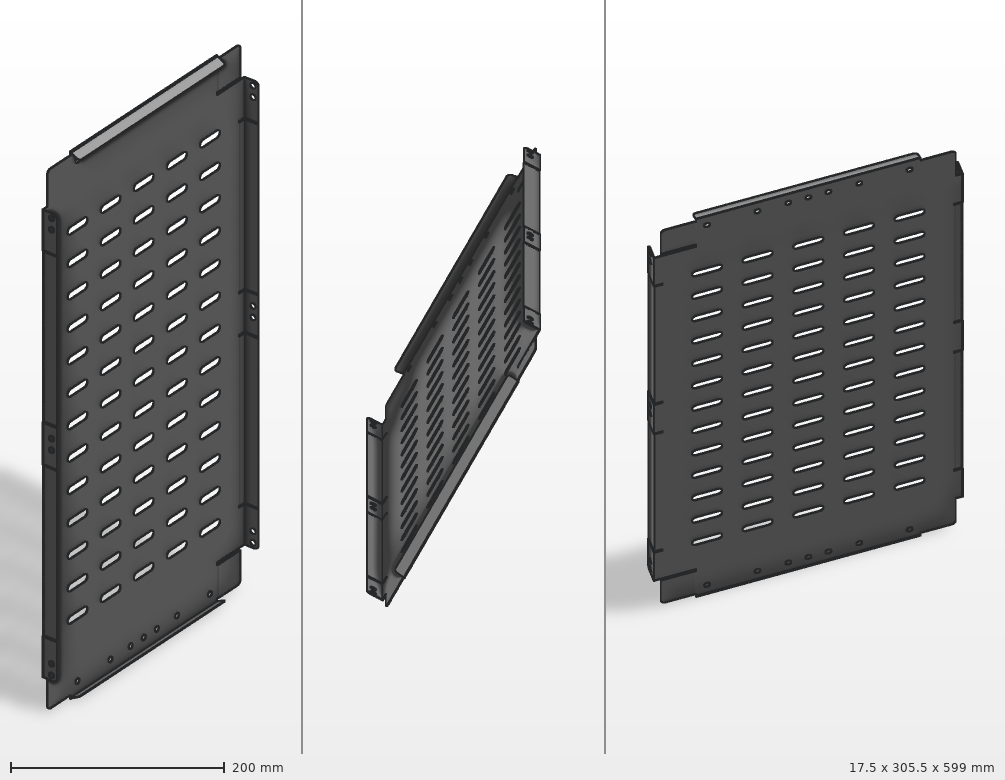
import cadquery as cq
import math

height = 599.0
width = 305.5
depth = 17.5
sheet = 1.0

flange_height = 511.5
flange_corner = 5.0
shoulder_width = 291.0
shoulder_height = 590.5
shoulder_corner = 5.0

lip_width = 221.5
lip_reach = 11.5
lip_angle = 27.0
lip_corner = 3.5

step = 0.3
flange_slit = 1.5
tab_slit = 3.0
step_run = 2.0
side_step = 145.5
side_offset_low = 23.0
side_offset_high = 211.5

slot_length = 30.0
slot_width = 8.5
slot_columns = 5
slot_rows = 13
slot_span_y = 200.0
slot_span_z = 426.0

hole_diameter = 6.0
plate_hole_z = 285.0
plate_hole_y = (0, 20.0, 50.5, 100.0)
flange_hole_x = 11.0
flange_hole_pitch = 12.5
flange_pair_centers = (-244.0, 2.7, 244.0)


def block(x_range, y_range, z_range):
    """Axis-aligned box between the given limits."""
    spans = [high - low for low, high in (x_range, y_range, z_range)]
    corner = (x_range[0], y_range[0], z_range[0])
    return cq.Workplane("XY").box(*spans, centered=False).translate(corner)


def mirrored_z(shape):
    """The shape together with its mirror image below Z = 0."""
    return shape.union(shape.mirror("XY"))


def plate():
    middle = block((0, sheet), (-width / 2, width / 2), (-flange_height / 2, flange_height / 2))
    shoulders = (
        cq.Workplane("YZ")
        .rect(shoulder_width, shoulder_height)
        .extrude(sheet)
        .edges("|X")
        .fillet(shoulder_corner)
    )
    lip_roots = block((0, sheet), (-lip_width / 2, lip_width / 2), (-height / 2, height / 2))
    return middle.union(shoulders).union(lip_roots)


def upper_lip():
    """Flap sloping down and back from the top edge of the plate."""
    angle = math.radians(lip_angle)
    top = height / 2
    drop = sheet / math.cos(angle)
    end_top = top - lip_reach * math.tan(angle)
    end_low = (lip_reach - sheet * math.sin(angle), end_top - sheet * math.cos(angle))
    sloped = (
        cq.Workplane("XZ")
        .polyline([(0, top), (lip_reach, end_top), end_low, (0, top - drop)])
        .close()
        .extrude(lip_width / 2, both=True)
    )
    outline = (
        block((0, lip_reach), (-lip_width / 2, lip_width / 2), (end_low[1], top))
        .edges("|Z and >X")
        .fillet(lip_corner)
    )
    return sloped.intersect(outline)


def flange():
    """Flange on the +Y side."""
    return (
        block((0, depth), (width / 2 - sheet, width / 2), (-flange_height / 2, flange_height / 2))
        .edges("|Y and >X")
        .fillet(flange_corner)
    )


def upper_flange_offset():
    """Upper stretch of the +Y flange, stepped inward together with its strip of plate."""
    outer = width / 2 - step
    step_start = side_step - step_run
    section = [
        (0, step_start), (step, side_step), (step, outer), (depth, outer), (depth, outer - sheet),
        (step + sheet, outer - sheet), (step + sheet, side_step), (sheet, step_start),
    ]
    length = side_offset_high - side_offset_low - 2 * flange_slit
    bottom = side_offset_low + flange_slit
    return cq.Workplane("XY", origin=(0, 0, bottom)).polyline(section).close().extrude(length)


def upper_flange_clearance():
    """Space cleared for the upper offset stretch and its two slits."""
    return block((0, depth), (side_step - step_run, width / 2), (side_offset_low, side_offset_high))


def upper_tab():
    """Corner tab on the +Y side, stepped inward off the plate."""
    edge = shoulder_width / 2
    start = lip_width / 2
    full = start + step_run
    inner = step + sheet
    section = [(0, start), (step, full), (step, edge), (inner, edge), (inner, full), (sheet, start)]
    bottom = flange_height / 2 + tab_slit
    return (
        cq.Workplane("XY", origin=(0, 0, bottom))
        .polyline(section)
        .close()
        .extrude(shoulder_height / 2 - bottom)
        .edges("|X and >Y and >Z")
        .fillet(shoulder_corner)
    )


def upper_tab_clearance():
    """Space cleared for the tab and the slit below it."""
    return block((0, sheet), (lip_width / 2, shoulder_width / 2), (flange_height / 2, shoulder_height / 2))


def slots():
    return (
        cq.Workplane("YZ")
        .rarray(slot_span_y / (slot_columns - 1), slot_span_z / (slot_rows - 1), slot_columns, slot_rows)
        .slot2D(slot_length, slot_width)
        .extrude(sheet)
    )


def plate_holes():
    points = {(side * y, end * plate_hole_z) for y in plate_hole_y for side in (-1, 1) for end in (-1, 1)}
    return cq.Workplane("YZ").pushPoints(sorted(points)).circle(hole_diameter / 2).extrude(sheet)


def flange_holes():
    points = [
        (flange_hole_x, center + side * flange_hole_pitch / 2)
        for center in flange_pair_centers
        for side in (-1, 1)
    ]
    return cq.Workplane("XZ").pushPoints(points).circle(hole_diameter / 2).extrude(width / 2, both=True)


def both_sides(shape):
    """The shape together with its mirror image across Y = 0."""
    return shape.union(shape.mirror("XZ"))


sheet_body = (
    plate()
    .union(both_sides(flange()))
    .cut(both_sides(mirrored_z(upper_flange_clearance())))
    .cut(mirrored_z(upper_tab_clearance()))
)
formed_body = (
    sheet_body
    .union(both_sides(mirrored_z(upper_flange_offset())))
    .union(mirrored_z(upper_tab()))
    .union(mirrored_z(upper_lip()))
)
result = formed_body.cut(slots()).cut(plate_holes()).cut(flange_holes())